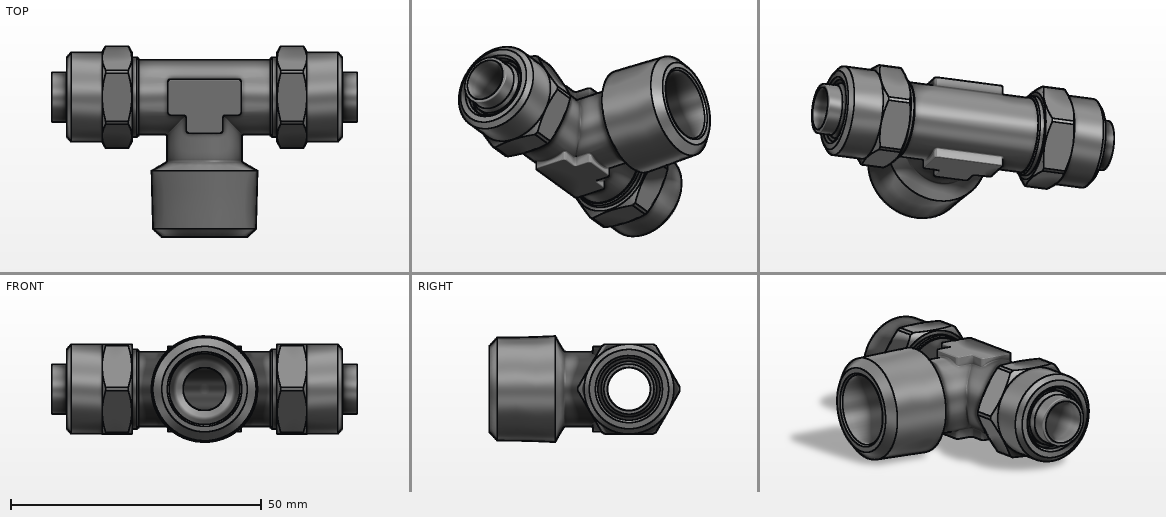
import cadquery as cq
import math

half_length = 30.5
branch_reach = 27.95

run_bore_radius = 4.3
body_radius = 7.5
inner_corner_fillet = 0.3

selection_margin = 0.05

pad_height = 8.55
pad_half_width = 7.3
pad_bar_y = 3.6
stem_half_width = 3.65
stem_end_y = -7.2
pad_corner_radius = 0.6
pad_edge_fillet = 0.25

branch_radius = 10.6
branch_tip_radius = 10.3
branch_face_radius = 8.55
branch_chamfer_length = 1.65
branch_bore_radius = 7.1
branch_bore_end = 15.25
bore_cone_half_angle = 59.0
branch_mouth_chamfer = 0.35
shoulder_start = 12.95
shoulder_angle = 30.0
shoulder_fillet = 0.4

collar_radius = 8.0
collar_start = 13.2
collar_chamfer = 0.3

hex_flats = 18.0
hex_corner_radius = 10.2
hex_start = 14.4
hex_end = 20.55
hex_face_radius = 8.8
hex_chamfer_angle = 30.0

sleeve_radius = 8.95
sleeve_end = 27.5
sleeve_chamfer_length = 0.9
sleeve_face_radius = 7.9
mouth_radius = 6.2
mouth_chamfer = 0.5
mouth_depth = 1.8

tube_radius = 5.0
tube_edge_fillet = 0.25
tube_root_radius = 5.55
tube_root_start = 27.65
tube_root_length = 0.9


def pad():
    """Tee-shaped plate running through the body, standing proud above and below."""
    bar_bottom_y = -pad_bar_y
    outline = [
        (-pad_half_width, pad_bar_y),
        (pad_half_width, pad_bar_y),
        (pad_half_width, bar_bottom_y),
        (stem_half_width, bar_bottom_y),
        (stem_half_width, stem_end_y),
        (-stem_half_width, stem_end_y),
        (-stem_half_width, bar_bottom_y),
        (-pad_half_width, bar_bottom_y),
    ]
    plate = cq.Workplane("XY").polyline(outline).close().extrude(pad_height, both=True)
    return plate.edges("|Z").fillet(pad_corner_radius).faces("|Z").edges().fillet(pad_edge_fillet)


def branch():
    """Neck widening over a sloped shoulder into the tapered male end, along -Y."""
    shoulder_rise = branch_radius - body_radius
    shoulder_end = shoulder_start + shoulder_rise * math.tan(math.radians(shoulder_angle))
    profile = [
        (0, 0),
        (body_radius, 0),
        (body_radius, -shoulder_start),
        (branch_radius, -shoulder_end),
        (branch_tip_radius, branch_chamfer_length - branch_reach),
        (branch_face_radius, -branch_reach),
        (0, -branch_reach),
    ]
    solid = cq.Workplane("XY").polyline(profile).close().revolve(360, (0, 0, 0), (0, 1, 0))
    neck_root = cq.selectors.NearestToPointSelector((0, -shoulder_start, 0))
    return solid.edges("%CIRCLE").edges(neck_root).fillet(shoulder_fillet)


def tee_body():
    """Run and branch joined with the pads, all inner corners filleted."""
    run = cq.Workplane("YZ").circle(body_radius).extrude(hex_start, both=True)
    body = run.union(branch()).union(pad())
    pad_root_low_z = math.sqrt(body_radius ** 2 - stem_half_width ** 2) - selection_margin
    crest_z = body_radius + selection_margin
    reach_x = pad_half_width + selection_margin
    upper_roots = cq.selectors.BoxSelector(
        (-reach_x, stem_end_y - selection_margin, pad_root_low_z),
        (reach_x, pad_bar_y + selection_margin, crest_z),
    )
    lower_roots = cq.selectors.BoxSelector(
        (-reach_x, stem_end_y - selection_margin, -crest_z),
        (reach_x, pad_bar_y + selection_margin, -pad_root_low_z),
    )
    neck_corners = cq.selectors.StringSyntaxSelector("%ELLIPSE")
    inner_corners = body.edges("not |Z").edges(upper_roots + lower_roots + neck_corners)
    return inner_corners.fillet(inner_corner_fillet)


def revolve_about_x(profile):
    """Solid of revolution from (x, radius) points closed along the X axis."""
    closed = [(profile[0][0], 0)] + profile + [(profile[-1][0], 0)]
    return cq.Workplane("XY").polyline(closed).close().revolve(360, (0, 0, 0), (1, 0, 0))


def branch_bore():
    """Wide bore of the branch, coned down to the narrow bore that meets the run."""
    cone_length = (branch_bore_radius - run_bore_radius) / math.tan(math.radians(bore_cone_half_angle))
    profile = [
        (0, 0),
        (run_bore_radius, 0),
        (run_bore_radius, cone_length - branch_bore_end),
        (branch_bore_radius, -branch_bore_end),
        (branch_bore_radius, branch_mouth_chamfer - branch_reach),
        (branch_bore_radius + branch_mouth_chamfer, -branch_reach),
        (0, -branch_reach),
    ]
    return cq.Workplane("XY").polyline(profile).close().revolve(360, (0, 0, 0), (0, 1, 0))


def collar():
    """Thin chamfered ring between the body and the nut."""
    return revolve_about_x([
        (collar_start, collar_radius - collar_chamfer),
        (collar_start + collar_chamfer, collar_radius),
        (hex_start, collar_radius),
    ])


def hexagon():
    """Nut hexagon with flats facing up and down, trimmed by a doubly chamfered disc."""
    across_corners = hex_flats / math.cos(math.radians(30))
    width = hex_end - hex_start
    prism = cq.Workplane("YZ", origin=(hex_start, 0, 0)).polygon(6, across_corners).extrude(width)
    chamfer_rise = hex_corner_radius - hex_face_radius
    chamfer_length = chamfer_rise * math.tan(math.radians(hex_chamfer_angle))
    trim = revolve_about_x([
        (hex_start, hex_face_radius),
        (hex_start + chamfer_length, hex_corner_radius),
        (hex_end - chamfer_length, hex_corner_radius),
        (hex_end, hex_face_radius),
    ])
    return prism.intersect(trim)


def sleeve():
    """Round outer part of the nut with its chamfered, recessed mouth."""
    outside = revolve_about_x([
        (hex_start, hex_face_radius),
        (hex_end - sleeve_chamfer_length, hex_face_radius),
        (hex_end - sleeve_chamfer_length, sleeve_radius),
        (sleeve_end - sleeve_chamfer_length, sleeve_radius),
        (sleeve_end, sleeve_face_radius),
    ])
    mouth = revolve_about_x([
        (sleeve_end - mouth_depth, mouth_radius),
        (sleeve_end - mouth_chamfer, mouth_radius),
        (sleeve_end, mouth_radius + mouth_chamfer),
    ])
    return outside.cut(mouth)


def tube():
    """Insert tube with a rounded tip and a root that flares inside the nut mouth."""
    pipe = cq.Workplane("YZ").circle(tube_radius).extrude(half_length)
    pipe = pipe.faces(">X").edges().fillet(tube_edge_fillet)
    root = revolve_about_x([
        (hex_start, tube_root_radius),
        (tube_root_start - tube_root_length, tube_root_radius),
        (tube_root_start, tube_radius),
    ])
    return pipe.union(root)


def run_end():
    """Collar, nut and tube on the +X side."""
    return collar().union(hexagon()).union(sleeve()).union(tube())


right_end = run_end()
outside = tee_body().union(right_end).union(right_end.mirror("YZ"))

run_bore = cq.Workplane("YZ").circle(run_bore_radius).extrude(half_length, both=True)
result = outside.cut(run_bore).cut(branch_bore())